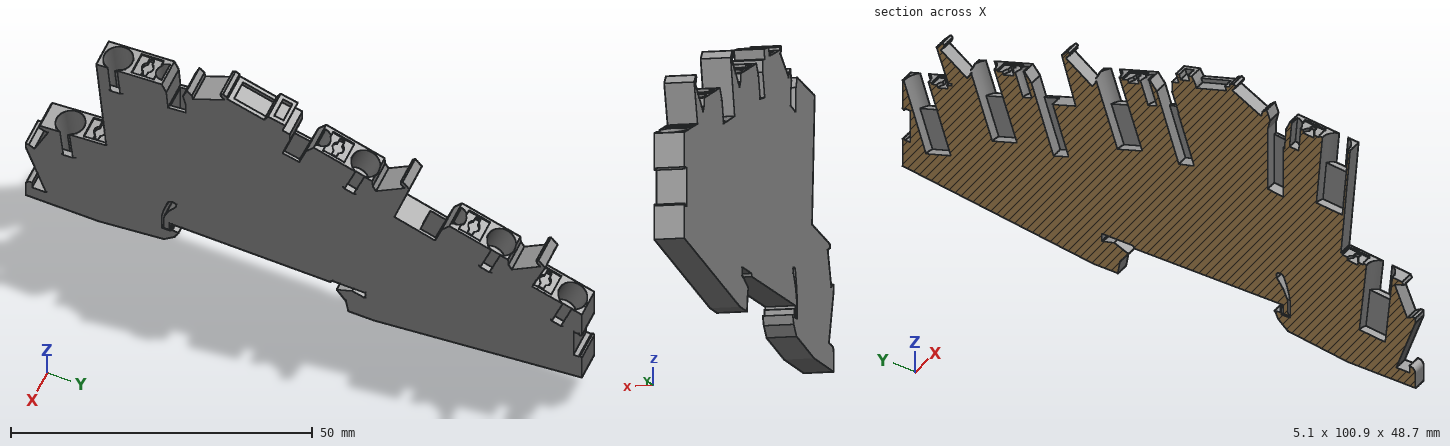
import cadquery as cq
import math

length = 100.9
height = 48.7
thickness = 5.1
half_thickness = thickness / 2
corner_radius = 1.1

step_shift = (-24.6, 8.4)

lever_block = [
    (94.2, 32.5), (93.0, 33.9), (92.6, 33.6), (92.7, 33.0), (93.3, 32.3), (88.2, 28.6),
    (87.6, 29.6), (87.5, 31.0), (76.9, 34.5), (75.5, 32.7), (74.3, 29.0),
]
lever_top_start, lever_top_end, lever_wall_top, lever_gap_start = lever_block[-4:]
upper_block = [(y + step_shift[0], z + step_shift[1]) for y, z in lever_block]
upper_top_start, upper_top_end, upper_wall_top, upper_gap_start = upper_block[-4:]

rear_end = [
    (length, 5.0), (length, 10.7), (100.6, 11.0), (100.3, 10.7), (99.4, 10.7),
    (99.4, 17.2), (100.3, 17.2), (100.6, 16.7), (length, 17.1),
]
rear_top = (length, 22.9)
first_lever_base = (91.9, 25.8)
second_lever_base = (66.9, 31.5)

third_gap_end = (46.6, 38.1)
tab_rear = (47.1, 46.2)
tab_front = (44.0, 47.0)
tab_foot = (43.3, 45.7)
marker_top_end = (36.6, 47.8)
top_wall_top = (29.1, 42.0)
top_block = [
    third_gap_end, (47.9, 42.2), (47.9, 44.2), (46.6, 44.6), tab_rear, tab_front, tab_foot,
    marker_top_end, (36.5, 48.3), (35.8, height), (35.3, 48.4), (35.4, 48.0), (36.0, 47.3),
    (30.4, 44.3), (30.2, 45.2), (29.3, 46.0), (28.6, 44.1), top_wall_top,
]
front_gap_start = (29.1, 39.8)
front_gap_end = (25.8, 39.4)
front_crest = (24.7, 45.3)
front_corner = (12.8, 44.3)
low_top_start = (14.6, 22.3)
low_top_end = (2.6, 21.1)
foot_wall_base = (3.2, 4.3)
front_end = [
    front_gap_start, front_gap_end, (25.5, 43.5), front_crest, front_corner,
    low_top_start, low_top_end, (2.3, 20.5), (4.0, 19.9), (1.6, 14.0), (0.6, 14.6),
    (0.0, 14.6), (0.0, 13.6), foot_wall_base, (0.0, 4.1), (0.0, 0.0),
]
foot_front = [
    (13.3, 0.0), (25.1, 1.6), (27.0, 3.3), (27.7, 4.8), (26.6, 5.0), (26.6, 6.1), (26.3, 6.1),
    (26.3, 4.6), (24.7, 4.6), (24.7, 8.1),
]
slot_front_bulge = (25.2, 10.5)
slot_top_front = (25.9, 12.5)
slot_crown = (26.6, 13.0)
slot_top_rear = (27.3, 12.6)
foot_rear = [
    (27.2, 11.9), (25.9, 10.0), (25.1, 8.1), (25.0, 4.8), (26.0, 4.8), (26.0, 6.7), (55.3, 6.5),
    (55.6, 7.0), (61.6, 7.0), (61.6, 5.5), (57.8, 4.2), (58.5, 0.0), (63.3, 0.0),
]

outline = (
    rear_end + [rear_top, first_lever_base] + lever_block + [second_lever_base] + upper_block
    + top_block + front_end + foot_front
)
body = (
    cq.Workplane("YZ", origin=(-half_thickness, 0, 0))
    .polyline(outline)
    .threePointArc(slot_front_bulge, slot_top_front)
    .threePointArc(slot_crown, slot_top_rear)
    .polyline(foot_rear, includeCurrent=True)
    .close()
    .extrude(thickness)
)
foot_step_corner = cq.selectors.BoxSelector((-thickness, -0.1, 4.0), (thickness, 0.1, 4.2))
body = body.edges(foot_step_corner).fillet(corner_radius)

latch_setback = 1.2
latch = (
    cq.Workplane("YZ", origin=(-half_thickness + latch_setback, 0, 0))
    .polyline([(61.5, 5.4), (60.6, 5.8), (59.2, 6.2), (56.4, 4.9), (58.1, 2.6), (60.0, 3.5)])
    .close()
    .extrude(thickness - latch_setback)
)
body = body.union(latch)

flange_thickness = 0.8
groove = (
    cq.Workplane("YZ", origin=(-half_thickness + flange_thickness, 0, 0))
    .polyline([(1.2, 4.5), foot_wall_base, (3.7, 2.8), (1.2, 2.8)])
    .close()
    .extrude(thickness)
)
body = body.cut(groove)


def surface_plane(start, end, distance):
    """Plane on the face start-end: local x follows the face toward end, z points outward (up)."""
    run = math.dist(start, end)
    along_y = (end[0] - start[0]) / run
    along_z = (end[1] - start[1]) / run
    origin = (0, start[0] + along_y * distance, start[1] + along_z * distance)
    return cq.Plane(origin=origin, xDir=(0, along_y, along_z), normal=(0, along_z, -along_y))


def slot_cutter(plane, along, across, depth):
    return cq.Workplane(plane).rect(along, across).extrude(-depth)


funnel_radius = 2.5
funnel_offset = 0.2
funnel_depth = 6.3
wire_width = 2.9
wire_depth = 14.1
button_pitch = 5.2
button_length = 4.0
button_width = 4.1
button_depth = 0.3
driver_slot_width = 0.9
driver_slot_length = 3.4
driver_slot_radius = 1.0
driver_slot_depth = 0.9
test_pitch = 8.6
test_radius = 1.7
test_depth = 5.0


def terminal(start, end, funnel_distance, toward_end, has_test_opening):
    """Wire funnel, release button recess and half-round test opening lined up on one face."""
    side = 1 if toward_end else -1
    entry_plane = surface_plane(start, end, funnel_distance)
    entry = cq.Workplane(entry_plane).center(0, funnel_offset)
    funnel = entry.circle(funnel_radius).extrude(-funnel_depth)
    wire_hole = entry.circle(funnel_radius).extrude(-wire_depth)
    flats = slot_cutter(entry_plane, 2 * funnel_radius, wire_width, wire_depth)
    cutter = funnel.union(wire_hole.intersect(flats))

    button_plane = surface_plane(start, end, funnel_distance + side * button_pitch)
    button = slot_cutter(button_plane, button_length, button_width, button_depth)
    driver_slot = slot_cutter(button_plane, driver_slot_width, driver_slot_length, driver_slot_depth)
    driver_centre = cq.Workplane(button_plane).circle(driver_slot_radius).extrude(-driver_slot_depth)
    cutter = cutter.union(button).union(driver_slot).union(driver_centre)

    if has_test_opening:
        test_plane = surface_plane(start, end, funnel_distance + side * test_pitch)
        test_half = (
            cq.Workplane(test_plane)
            .moveTo(0, test_radius)
            .threePointArc((-side * test_radius, 0), (0, -test_radius))
            .close()
            .extrude(-test_depth)
        )
        cutter = cutter.union(test_half)
    return cutter


rear_funnel = 2.8
lever_funnel = 2.3
front_funnel = 9.0
low_funnel = 7.6
terminals = [
    (rear_top, first_lever_base, rear_funnel, True, False),
    (lever_top_start, lever_top_end, lever_funnel, True, True),
    (upper_top_start, upper_top_end, lever_funnel, True, True),
    (front_crest, front_corner, front_funnel, False, True),
    (low_top_start, low_top_end, low_funnel, False, False),
]
for placement in terminals:
    body = body.cut(terminal(*placement))

shaft_length = 3.0
shaft_width = 4.0
shaft_depth = 10.1


def jumper_shaft(wall_top, floor_start, floor_end):
    floor = cq.Vector(*floor_end) - cq.Vector(*floor_start)
    wall = cq.Vector(*floor_start) - cq.Vector(*wall_top)
    rear_rim = cq.Vector(*floor_start)
    front_rim = rear_rim + floor.normalized() * shaft_length
    drop = wall.normalized() * shaft_depth
    corners = [rear_rim, front_rim, front_rim + drop, rear_rim + drop]
    return (
        cq.Workplane("YZ")
        .polyline([(corner.x, corner.y) for corner in corners])
        .close()
        .extrude(shaft_width / 2, both=True)
    )


gaps = [
    (lever_wall_top, lever_gap_start, second_lever_base),
    (upper_wall_top, upper_gap_start, third_gap_end),
    (top_wall_top, front_gap_start, front_gap_end),
]
for gap in gaps:
    body = body.cut(jumper_shaft(*gap))

tab_pocket_start = 0.7
tab_pocket_length = 1.7
marker_width = 3.6
tab_pocket_depth = 1.0
pocket_plane = surface_plane(tab_rear, tab_front, tab_pocket_start + tab_pocket_length / 2)
body = body.cut(slot_cutter(pocket_plane, tab_pocket_length, marker_width, tab_pocket_depth))

marker_length = 6.1
marker_depth = 0.8
marker_plane = surface_plane(tab_foot, marker_top_end, marker_length / 2)
body = body.cut(slot_cutter(marker_plane, marker_length, marker_width, marker_depth))

result = body